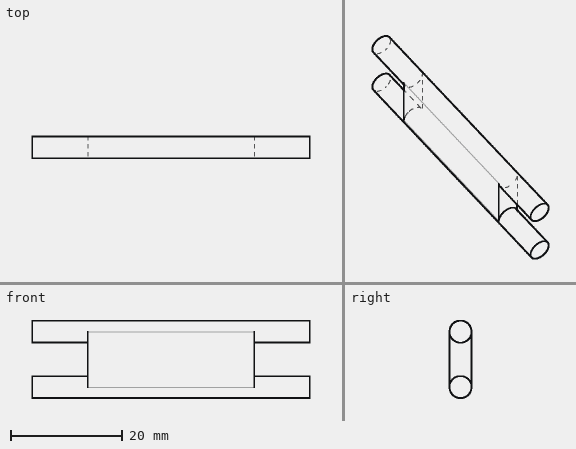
import cadquery as cq

rod_length = 50
rod_diameter = 4
rod_spacing = 10
web_length = 30

result = cq.Workplane("XY").box(web_length, rod_diameter, rod_spacing)

for rod_height in (-rod_spacing / 2, rod_spacing / 2):
    rod = (
        cq.Workplane("YZ", origin=(-rod_length / 2, 0, rod_height))
        .circle(rod_diameter / 2)
        .extrude(rod_length)
    )
    result = result.union(rod)